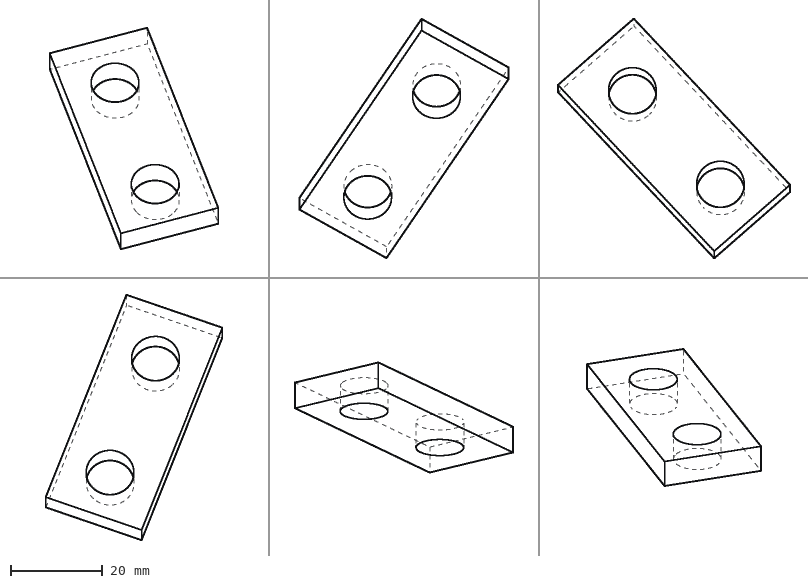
import cadquery as cq

length = 50.8
width = 22.35
thickness = 6.0

hole_diameter = 10.4
left_hole_inset = 11.9
hole_spacing = 28.6

left_hole_x = -length / 2 + left_hole_inset
hole_centers = [(left_hole_x, 0), (left_hole_x + hole_spacing, 0)]

plate = cq.Workplane("XY").box(length, width, thickness)
result = plate.faces(">Z").workplane(origin=(0, 0, 0)).pushPoints(hole_centers).hole(hole_diameter)